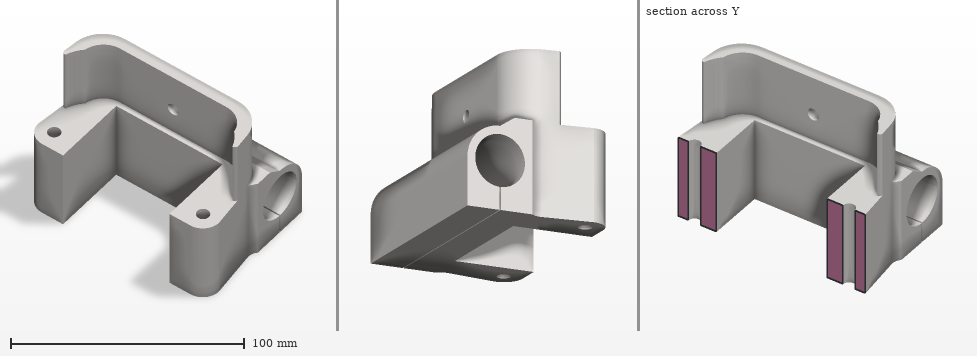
import cadquery as cq
import math

HEIGHT = 75.0
DEPTH = 68.29
BASE_HEIGHT = 42.1

LEG_HALF_WIDTH = 48.79
LEG_CORNER_RADIUS = 8.75
BAY_HALF_WIDTH = 28.7
BAY_BACK = 37.4
LEG_HOLE_X = 40.2
LEG_HOLE_Y = 8.75
LEG_HOLE_DIAMETER = 6.2

WALL_BACK = 45.9
WALL_THICKNESS = 5.8
WALL_END = 22.9
WALL_OUTER_RADIUS = 15.8
WALL_INNER_RADIUS = 11.7
INNER_ARC_CENTER_X = 28.7
INNER_ARC_END_X = 40.2
WALL_TAPER_RADIUS = 20.0
TIP_INNER_X = 45.1
TIP_ROUND_START_Y = 24.2
TIP_ROUND_RADIUS = 2.0
WALL_HOLE_DIAMETER = 6.0
WALL_HOLE_Z = 55.6

CLAMP_HALF_WIDTH = 47.8
CLAMP_RADIUS = 15.5
CLAMP_FRONT = 37.3
BORE_DIAMETER = 23.6
BORE_Y = DEPTH - CLAMP_RADIUS
BORE_Z = 22.1
SLIT_WIDTH = 0.65

SIDE_BACK_X = 46.05
SIDE_BACK_Y = 32.4
SIDE_SLOPE = (LEG_HALF_WIDTH - SIDE_BACK_X) / (SIDE_BACK_Y - LEG_CORNER_RADIUS)
SIDE_ANGLE = math.atan(SIDE_SLOPE)

COVE_RADIUS = 2.0
COVE_OVERLAP = 1.0


def side_x(y):
    """Half width of the leaning side faces at depth y."""
    return SIDE_BACK_X + SIDE_SLOPE * (SIDE_BACK_Y - y)


CORNER_Y = WALL_BACK - WALL_OUTER_RADIUS
CORNER_X = side_x(CORNER_Y) - WALL_OUTER_RADIUS / math.cos(SIDE_ANGLE)


def corner_point(angle):
    """Point on the outer wall corner arc, angle measured from +X."""
    return (
        CORNER_X + WALL_OUTER_RADIUS * math.cos(angle),
        CORNER_Y + WALL_OUTER_RADIUS * math.sin(angle),
    )


def both_sides(right_half):
    """Join a right half with its mirror image across the middle plane."""
    return right_half.union(right_half.mirror("YZ"))


def make_base_half():
    """Right half of the base plan, from the leg to the clamp block."""
    corner_x = LEG_HALF_WIDTH - LEG_CORNER_RADIUS
    return (
        cq.Workplane("XY")
        .moveTo(0, BAY_BACK)
        .lineTo(BAY_HALF_WIDTH, BAY_BACK)
        .lineTo(BAY_HALF_WIDTH, 0)
        .lineTo(corner_x, 0)
        .radiusArc((LEG_HALF_WIDTH, LEG_CORNER_RADIUS), -LEG_CORNER_RADIUS)
        .lineTo(SIDE_BACK_X, SIDE_BACK_Y)
        .tangentArcPoint((CLAMP_HALF_WIDTH, CLAMP_FRONT), relative=False)
        .lineTo(CLAMP_HALF_WIDTH, DEPTH)
        .lineTo(0, DEPTH)
        .close()
        .extrude(HEIGHT)
    )


def make_side_profile():
    """Clamp profile across X; its ramp runs on upward to bound the cove."""
    ramp_slope = (BASE_HEIGHT - BORE_Z - CLAMP_RADIUS) / (BORE_Y - WALL_BACK)
    ramp_top_y = WALL_BACK - (HEIGHT - BASE_HEIGHT) / ramp_slope
    return (
        cq.Workplane("YZ")
        .lineTo(DEPTH, 0)
        .lineTo(DEPTH, BORE_Z)
        .radiusArc((BORE_Y, BORE_Z + CLAMP_RADIUS), -CLAMP_RADIUS)
        .lineTo(ramp_top_y, HEIGHT)
        .lineTo(0, HEIGHT)
        .close()
        .extrude(LEG_HALF_WIDTH, both=True)
    )


def make_wall_half():
    """Right half of the upright wall."""
    inner_back = WALL_BACK - WALL_THICKNESS
    inner_center_y = inner_back - WALL_INNER_RADIUS
    inner_run = INNER_ARC_END_X - INNER_ARC_CENTER_X
    inner_end_y = inner_center_y + math.sqrt(WALL_INNER_RADIUS**2 - inner_run**2)
    return (
        cq.Workplane("XY", origin=(0, 0, BASE_HEIGHT))
        .moveTo(0, WALL_BACK)
        .lineTo(CORNER_X, WALL_BACK)
        .radiusArc(corner_point(SIDE_ANGLE), WALL_OUTER_RADIUS)
        .lineTo(side_x(TIP_ROUND_START_Y), TIP_ROUND_START_Y)
        .radiusArc((TIP_INNER_X, WALL_END), TIP_ROUND_RADIUS)
        .radiusArc((INNER_ARC_END_X, inner_end_y), -WALL_TAPER_RADIUS)
        .radiusArc((INNER_ARC_CENTER_X, inner_back), -WALL_INNER_RADIUS)
        .lineTo(0, inner_back)
        .close()
        .extrude(HEIGHT - BASE_HEIGHT)
    )


def make_cove_half(limits):
    """Concave ring around the right wall corner, trimmed to the given solid."""
    outer = WALL_OUTER_RADIUS + COVE_RADIUS
    inner = WALL_OUTER_RADIUS - COVE_OVERLAP
    ring = (
        cq.Workplane("XZ", origin=(CORNER_X, CORNER_Y, BASE_HEIGHT))
        .moveTo(inner, 0)
        .lineTo(outer, 0)
        .radiusArc((WALL_OUTER_RADIUS, COVE_RADIUS), COVE_RADIUS)
        .lineTo(inner, COVE_RADIUS)
        .close()
        .revolve(90, (0, 0, 0), (0, 1, 0))
    )
    return ring.intersect(limits)


def cut_leg_holes(body):
    """Vertical through hole in each leg."""
    holes = (
        cq.Workplane("XY")
        .pushPoints([(-LEG_HOLE_X, LEG_HOLE_Y), (LEG_HOLE_X, LEG_HOLE_Y)])
        .circle(LEG_HOLE_DIAMETER / 2)
        .extrude(BASE_HEIGHT)
    )
    return body.cut(holes)


def cut_wall_hole(body):
    """Hole through the middle of the wall along Y."""
    hole = cq.Workplane("XZ").center(0, WALL_HOLE_Z).circle(WALL_HOLE_DIAMETER / 2).extrude(-DEPTH)
    return body.cut(hole)


def cut_clamp(body):
    """Bore along X and the slit that opens it downward."""
    bore = (
        cq.Workplane("YZ")
        .center(BORE_Y, BORE_Z)
        .circle(BORE_DIAMETER / 2)
        .extrude(CLAMP_HALF_WIDTH, both=True)
    )
    slit = (
        cq.Workplane("XY")
        .center(0, BORE_Y)
        .rect(2 * CLAMP_HALF_WIDTH, SLIT_WIDTH)
        .extrude(BORE_Z)
    )
    return body.cut(bore).cut(slit)


envelope = both_sides(make_base_half()).intersect(make_side_profile())
base_slab = cq.Workplane("XY").box(
    2 * LEG_HALF_WIDTH, DEPTH, BASE_HEIGHT, centered=(True, False, False)
)
base = envelope.intersect(base_slab)

body = base.union(both_sides(make_wall_half()))
body = body.union(both_sides(make_cove_half(envelope)))
body = cut_leg_holes(body)
body = cut_wall_hole(body)
result = cut_clamp(body)